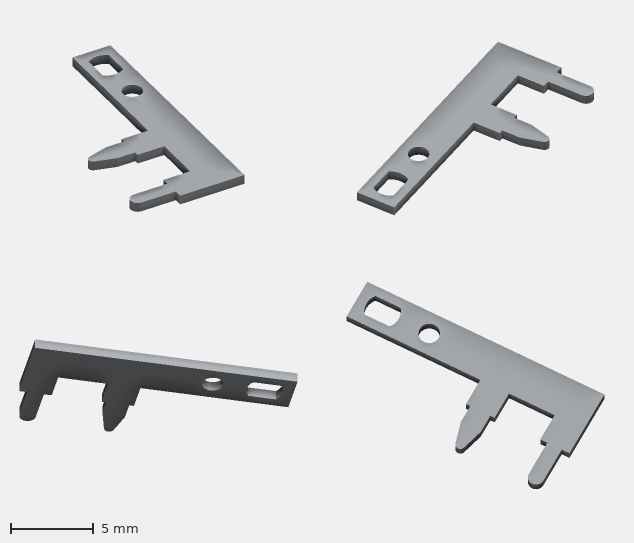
import cadquery as cq
import math

length = 16.26
depth = 7.38
thickness = 0.63

arm_width = 2.65
shoulder_depth = 4.5
shoulder_width = 1.97
right_shoulder_width = 2.0

tapered_pin_x = 10.15
tapered_pin_width = 1.38
taper_start_depth = 5.74
tip_radius = 0.31

round_pin_x = 15.24
round_pin_width = 0.99

slot_x = 1.75
slot_length = 2.21
slot_width = 1.41
slot_flat_length = 1.72
hole_x = 4.96
hole_diameter = 1.3


def block(x_left, x_right, y_back, y_front):
    """Full-thickness rectangle between the given X and Y limits."""
    return (
        cq.Workplane("XY")
        .moveTo(x_left, y_back)
        .lineTo(x_right, y_back)
        .lineTo(x_right, y_front)
        .lineTo(x_left, y_front)
        .close()
        .extrude(thickness)
    )


def tapered_pin():
    """Pin whose flanks converge onto a tangent rounded tip."""
    half_width = tapered_pin_width / 2
    tip_centre_drop = depth - tip_radius - taper_start_depth
    corner_to_centre = math.hypot(half_width, tip_centre_drop)
    taper_angle = math.acos(tip_radius / corner_to_centre) - math.atan2(tip_centre_drop, half_width)
    tangent_half_width = tip_radius * math.cos(taper_angle)
    tangent_y = -depth + tip_radius * (1 - math.sin(taper_angle))
    return (
        cq.Workplane("XY")
        .moveTo(tapered_pin_x - half_width, -arm_width)
        .lineTo(tapered_pin_x - half_width, -taper_start_depth)
        .lineTo(tapered_pin_x - tangent_half_width, tangent_y)
        .threePointArc((tapered_pin_x, -depth), (tapered_pin_x + tangent_half_width, tangent_y))
        .lineTo(tapered_pin_x + half_width, -taper_start_depth)
        .lineTo(tapered_pin_x + half_width, -arm_width)
        .close()
        .extrude(thickness)
    )


def round_pin():
    """Parallel-sided pin ending in a half circle."""
    radius = round_pin_width / 2
    arc_y = -depth + radius
    return (
        cq.Workplane("XY")
        .moveTo(round_pin_x - radius, -arm_width)
        .lineTo(round_pin_x - radius, arc_y)
        .threePointArc((round_pin_x, -depth), (round_pin_x + radius, arc_y))
        .lineTo(round_pin_x + radius, -arm_width)
        .close()
        .extrude(thickness)
    )


def slot_cutter():
    """Slot with straight long sides and shallow arched ends."""
    centre_y = -arm_width / 2
    half_flat = slot_flat_length / 2
    half_length = slot_length / 2
    y_back = centre_y + slot_width / 2
    y_front = centre_y - slot_width / 2
    return (
        cq.Workplane("XY")
        .moveTo(slot_x - half_flat, y_back)
        .lineTo(slot_x + half_flat, y_back)
        .threePointArc((slot_x + half_length, centre_y), (slot_x + half_flat, y_front))
        .lineTo(slot_x - half_flat, y_front)
        .threePointArc((slot_x - half_length, centre_y), (slot_x - half_flat, y_back))
        .close()
        .extrude(thickness)
    )


def hole_cutter():
    """Round through hole beside the slot."""
    return (
        cq.Workplane("XY")
        .center(hole_x, -arm_width / 2)
        .circle(hole_diameter / 2)
        .extrude(thickness)
    )


arm = block(0, length, 0, -arm_width)
inner_shoulder = block(
    tapered_pin_x - shoulder_width / 2, tapered_pin_x + shoulder_width / 2, 0, -shoulder_depth
)
right_shoulder = block(length - right_shoulder_width, length, 0, -shoulder_depth)

plate = arm.union(inner_shoulder).union(right_shoulder)
plate = plate.union(tapered_pin()).union(round_pin())
result = plate.cut(slot_cutter()).cut(hole_cutter()).clean()